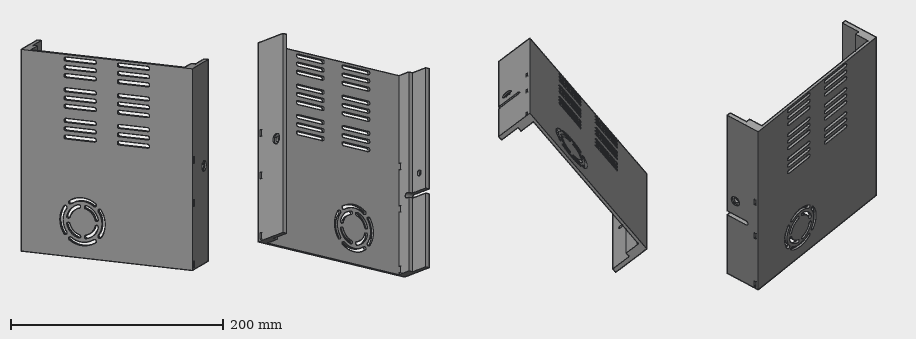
import cadquery as cq
import math

width = 176.0
depth = 37.8
height = 196.9
plate_thickness = 3.0
wall_thickness = 4.5
ledge_width = 9.0
ledge_depth = 18.0

louvre_length = 33.0
louvre_width = 4.0
louvre_column_offset = 27.4
louvre_pitch = 8.0
louvre_group_pitch = 30.0
louvre_top_margin = 4.5
louvre_groups = 3
louvres_per_group = 3

fan_x = -25.0
fan_z = 35.5
fan_slot_width = 3.3
fan_slots_per_ring = 4
outer_ring_radius = 21.7
outer_slot_half_angle = 35.5
inner_ring_radius = 15.0
inner_slot_half_angle = 31.0

screw_hole_diameter = 5.5
screw_head_diameter = 10.0
screw_head_depth = 1.5
screw_from_rear = 10.0
screw_z = 95.3
cable_slot_width = 5.0
cable_slot_length = 25.4
cable_slot_z = 75.5
tab_slot_depth = 2.0
tab_slot_height = 6.3
tab_slot_centres_z = (5.1, 65.0, 107.0)


def make_shell():
    """U-shaped profile with stepped walls, extruded along Z."""
    outer_x = width / 2
    wall_x = outer_x - wall_thickness
    ledge_x = outer_x - ledge_width
    return (
        cq.Workplane("XY")
        .moveTo(-outer_x, 0)
        .lineTo(outer_x, 0)
        .lineTo(outer_x, depth)
        .lineTo(wall_x, depth)
        .lineTo(wall_x, ledge_depth)
        .lineTo(ledge_x, ledge_depth)
        .lineTo(ledge_x, plate_thickness)
        .lineTo(-ledge_x, plate_thickness)
        .lineTo(-ledge_x, ledge_depth)
        .lineTo(-wall_x, ledge_depth)
        .lineTo(-wall_x, depth)
        .lineTo(-outer_x, depth)
        .close()
        .extrude(height)
    )


def make_louvres():
    """Horizontal slots through the front plate near its top edge."""
    centres = []
    for group in range(louvre_groups):
        for row in range(louvres_per_group):
            z = height - louvre_top_margin - group * louvre_group_pitch - row * louvre_pitch
            centres.append((-louvre_column_offset, z))
            centres.append((louvre_column_offset, z))
    return (
        cq.Workplane("XZ")
        .pushPoints(centres)
        .slot2D(louvre_length, louvre_width)
        .extrude(-plate_thickness)
    )


def make_arc_slot(radius, mid_angle, half_angle):
    """Curved slot with round ends; half_angle reaches the centres of the round ends."""

    def at(distance, angle):
        a = math.radians(angle)
        return (fan_x + distance * math.cos(a), fan_z + distance * math.sin(a))

    outer = radius + fan_slot_width / 2
    inner = radius - fan_slot_width / 2
    start = mid_angle - half_angle
    end = mid_angle + half_angle
    cap_angle = math.degrees(fan_slot_width / 2 / radius)
    return (
        cq.Workplane("XZ")
        .moveTo(*at(outer, start))
        .threePointArc(at(outer, mid_angle), at(outer, end))
        .threePointArc(at(radius, end + cap_angle), at(inner, end))
        .threePointArc(at(inner, mid_angle), at(inner, start))
        .threePointArc(at(radius, start - cap_angle), at(outer, start))
        .close()
        .extrude(-plate_thickness)
    )


def cut_fan_grille(body):
    """Outer slots centred on the axes, inner slots centred on the diagonals."""
    step = 360 / fan_slots_per_ring
    for index in range(fan_slots_per_ring):
        body = body.cut(make_arc_slot(outer_ring_radius, index * step, outer_slot_half_angle))
        body = body.cut(make_arc_slot(inner_ring_radius, (index + 0.5) * step, inner_slot_half_angle))
    return body


def make_screw_hole():
    """Counterbored hole through the left wall, with the screw head seat on the outside."""
    mouth = cq.Workplane("YZ", origin=(-width / 2, depth - screw_from_rear, screw_z))
    shank = mouth.circle(screw_hole_diameter / 2).extrude(wall_thickness)
    seat = mouth.circle(screw_head_diameter / 2).extrude(screw_head_depth)
    return shank.union(seat)


def make_cable_slot():
    """Slot through the left wall only, open at the rear edge and round at its front end."""
    radius = cable_slot_width / 2
    tip_y = depth - cable_slot_length
    return (
        cq.Workplane("YZ", origin=(-width / 2, 0, cable_slot_z))
        .moveTo(depth, -radius)
        .lineTo(tip_y + radius, -radius)
        .threePointArc((tip_y, 0), (tip_y + radius, radius))
        .lineTo(depth, radius)
        .close()
        .extrude(ledge_width)
    )


def make_tab_slots():
    """Rectangular slots through both walls, flush with the inner face of the front plate."""
    centre_y = plate_thickness + tab_slot_depth / 2
    return (
        cq.Workplane("YZ", origin=(-width / 2, 0, 0))
        .pushPoints([(centre_y, z) for z in tab_slot_centres_z])
        .rect(tab_slot_depth, tab_slot_height)
        .extrude(width)
    )


left_screw_hole = make_screw_hole()

result = make_shell().cut(make_louvres())
result = cut_fan_grille(result)
result = result.cut(left_screw_hole).cut(left_screw_hole.mirror("YZ"))
result = result.cut(make_cable_slot()).cut(make_tab_slots())